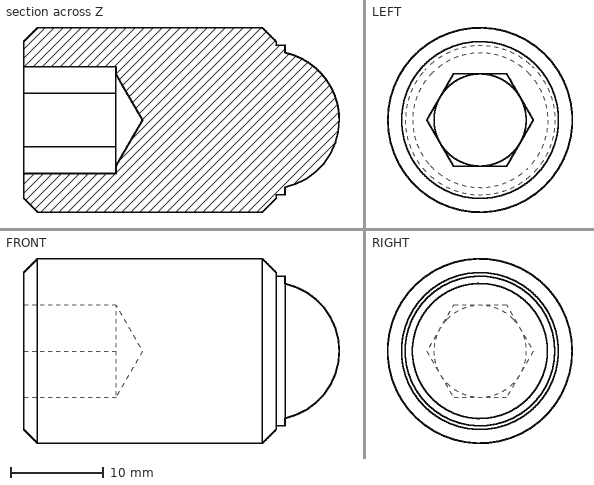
import cadquery as cq
import math

length = 34.2
body_diameter = 20.0
body_length = 27.35
chamfer = 1.5
collar_diameter = 16.2
collar_length = 0.95
ball_diameter = 14.98
socket_across_flats = 10.0
socket_depth = 10.0
point_angle = 120.0

body_radius = body_diameter / 2
collar_radius = collar_diameter / 2
collar_end = body_length + collar_length
ball_radius = ball_diameter / 2
ball_center = length - ball_radius
socket_radius = socket_across_flats / 2


def ball_height(x):
    """Height of the ball surface above the screw axis at position x."""
    return math.sqrt(ball_radius**2 - (x - ball_center) ** 2)


def make_screw():
    """Chamfered body, collar and ball cap, revolved about the X axis."""
    arc_middle = (collar_end + length) / 2
    profile = (
        cq.Workplane("XY")
        .moveTo(0, 0)
        .lineTo(0, body_radius - chamfer)
        .lineTo(chamfer, body_radius)
        .lineTo(body_length - chamfer, body_radius)
        .lineTo(body_length, body_radius - chamfer)
        .lineTo(body_length, collar_radius)
        .lineTo(collar_end, collar_radius)
        .lineTo(collar_end, ball_height(collar_end))
        .threePointArc((arc_middle, ball_height(arc_middle)), (length, 0))
        .close()
    )
    return profile.revolve(360, (0, 0, 0), (1, 0, 0))


def make_socket():
    """Hexagon with flats facing +Z and -Z, ending in a conical point."""
    corner_diameter = socket_across_flats / math.cos(math.radians(30))
    return cq.Workplane("YZ").polygon(6, corner_diameter).extrude(socket_depth)


def make_socket_point():
    """Cone below the socket, touching the six flats at its base."""
    point_depth = socket_radius / math.tan(math.radians(point_angle / 2))
    base_center = cq.Vector(socket_depth, 0, 0)
    inward = cq.Vector(1, 0, 0)
    return cq.Workplane(cq.Solid.makeCone(socket_radius, 0, point_depth, base_center, inward))


result = make_screw().cut(make_socket()).cut(make_socket_point())